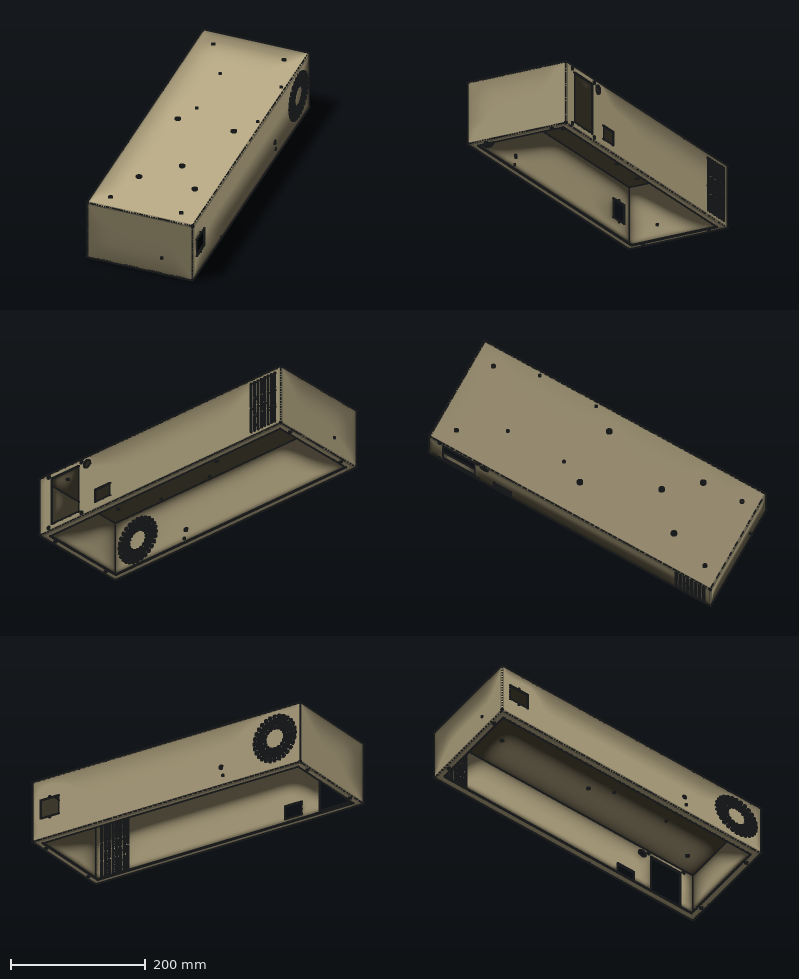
import cadquery as cq
import math

width = 170.0
length = 480
height = 101
sheet = 2.0
bend_radius = 2.5
flange = 11.5

side_x = width / 2
end_y = length / 2
top_z = height / 2
drill_depth = 2 * flange

LEFT = -1
RIGHT = 1

fan_y = 188.0
fan_window = (54.0, 79.5)
fan_screw_y = 188.5
fan_screw_pitch = (65.0, 88.0)
fan_screw_diameter = 4.5

grille_y = 194.0
grille_z = 1.5
grille_hole_diameter = 5
grille_rings = [(18.0, 16), (24.5, 24), (30.0, 28), (36.0, 28)]

cable_hole_y = 145.0
cable_hole_z = 36.5
cable_hole_diameter = 13.0
connector_y = 114.0
connector_z = -26.0
connector_window = (30.0, 21.5)

switch_hole_y = 98.0
switch_hole_z = -19.5
switch_hole_diameter = 6.0
pin_hole_y = 101.5
pin_hole_z = -34.0
pin_hole_diameter = 3.0

louvre_columns = 8
louvre_run = 46.5
louvre_pitch = louvre_run / (louvre_columns - 1)
louvre_span = 85.5
louvre_gap = 3.0
louvre_slot_width = 3.0
louvre_y = -204.5

outlet_y = -208.0
outlet_window = (33.0, 30.0)
outlet_screw_pitch = 34.0
outlet_screw_diameter = 2.5

corner_pitch = (112.5, 422.5)
corner_y = -3.0
corner_hole_diameter = 5
board_x = 29
board_y = 93.5
board_pitch = (97.0, 95.5)
board_hole_diameter = 3.0
bracket_x = 8.5
bracket_y = -70.0
bracket_pitch = (89.0, 160.0)
single_screw = (14.0, -101.5)
csk_hole_diameter = 4.2
csk_diameter = 7.5
csk_angle = 90

front_hole_x = 35.0
front_hole_z = -20.5
front_hole_diameter = 3.0
flange_hole_diameter = 4.2
flange_hole_inset = 6.5


def rectangle_points(x, y, pitch):
    return [(x + i * pitch[0] / 2, y + j * pitch[1] / 2) for i in (-1, 1) for j in (-1, 1)]


def rounded_box():
    """Box with bends that run square to the corners and rounded uprights between the bends."""
    square_post = cq.Workplane("XY").box(width, length, height - 2 * bend_radius)
    round_post = square_post.edges("|Z").fillet(bend_radius)
    body = cq.Workplane("XY").box(width, length, height).faces("<Z or >Z").edges().fillet(bend_radius)
    return body.cut(square_post.cut(round_post))


def folded_shell():
    """Closed sheet box whose bottom is opened to leave a return flange all around."""
    mouth = (
        cq.Workplane("XY")
        .box(width - 2 * flange, length - 2 * flange, height / 2)
        .translate((0, 0, -height / 2))
    )
    cavity = cq.Workplane("XY").box(width - 2 * sheet, length - 2 * sheet, height - 2 * sheet)
    return rounded_box().cut(cavity).cut(mouth)


def wall_plane(side):
    """(Y, Z) plane from which a cut toward +X passes through the left or right wall."""
    return cq.Workplane("YZ", origin=(side * side_x - drill_depth / 2, 0, 0))


def wall_holes(side, points, diameter):
    return wall_plane(side).pushPoints(points).circle(diameter / 2).extrude(drill_depth)


def wall_window(side, y, z, size):
    return wall_plane(side).center(y, z).rect(*size).extrude(drill_depth)


def top_holes(points, diameter):
    plane = cq.Workplane("XY", origin=(0, 0, top_z - drill_depth / 2))
    return plane.pushPoints(points).circle(diameter / 2).extrude(drill_depth)


def grille_points():
    points = []
    for radius, count in grille_rings:
        for k in range(count):
            angle = 2 * math.pi * k / count
            points.append((grille_y + radius * math.cos(angle), grille_z + radius * math.sin(angle)))
    return points


def louvre_column(index):
    slots = 2 + index % 2
    slot_length = (louvre_span - (slots - 1) * louvre_gap) / slots
    step = slot_length + louvre_gap
    y = louvre_y + ((louvre_columns - 1) / 2 - index) * louvre_pitch
    points = [(y, (k - (slots - 1) / 2) * step) for k in range(slots)]
    return wall_plane(LEFT).pushPoints(points).slot2D(slot_length, louvre_slot_width, 90).extrude(drill_depth)


result = folded_shell()

result = result.cut(wall_window(LEFT, fan_y, 0, fan_window))
result = result.cut(wall_holes(LEFT, rectangle_points(fan_screw_y, 0, fan_screw_pitch), fan_screw_diameter))
result = result.cut(wall_holes(RIGHT, grille_points(), grille_hole_diameter))

result = result.cut(wall_holes(LEFT, [(cable_hole_y, cable_hole_z)], cable_hole_diameter))
result = result.cut(wall_window(LEFT, connector_y, connector_z, connector_window))
result = result.cut(wall_holes(RIGHT, [(switch_hole_y, switch_hole_z)], switch_hole_diameter))
result = result.cut(wall_holes(RIGHT, [(pin_hole_y, pin_hole_z)], pin_hole_diameter))

for column in range(louvre_columns):
    result = result.cut(louvre_column(column))
result = result.cut(wall_window(RIGHT, outlet_y, 0, outlet_window))
outlet_screws = [(outlet_y, side * outlet_screw_pitch / 2) for side in (-1, 1)]
result = result.cut(wall_holes(RIGHT, outlet_screws, outlet_screw_diameter))

result = result.cut(top_holes(rectangle_points(0, corner_y, corner_pitch), corner_hole_diameter))
result = result.cut(top_holes(rectangle_points(board_x, board_y, board_pitch), board_hole_diameter))
csk_points = rectangle_points(bracket_x, bracket_y, bracket_pitch) + [single_screw]
result = (
    result.faces(">Z")
    .workplane(origin=(0, 0, top_z))
    .pushPoints(csk_points)
    .cskHole(csk_hole_diameter, csk_diameter, csk_angle, depth=drill_depth)
)

front_hole = (
    cq.Workplane("XZ", origin=(0, -end_y + drill_depth / 2, 0))
    .center(front_hole_x, front_hole_z)
    .circle(front_hole_diameter / 2)
    .extrude(drill_depth)
)
result = result.cut(front_hole)

flange_pitch = (corner_pitch[0], length - 2 * flange_hole_inset)
flange_holes = (
    cq.Workplane("XY", origin=(0, 0, -top_z))
    .pushPoints(rectangle_points(0, 0, flange_pitch))
    .circle(flange_hole_diameter / 2)
    .extrude(drill_depth / 2)
)
result = result.cut(flange_holes)